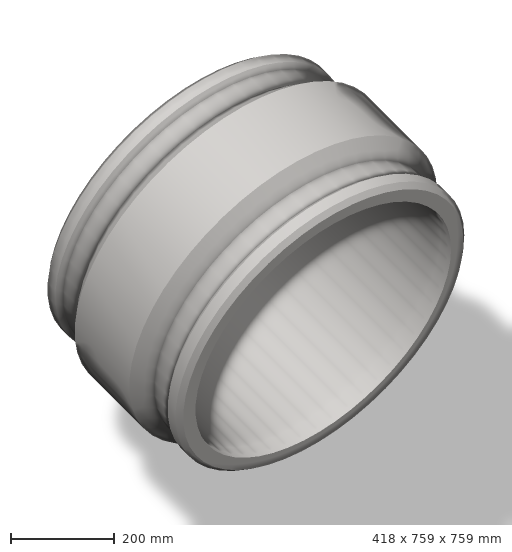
import cadquery as cq

length = 418.0
band_diameter = 759
lip_diameter = 712.0
neck_diameter = 691
bore_diameter = 630

lip_chamfer = 11.0
lip_land_length = 24.0
neck_length = 45.0
band_length = 169.0
band_slope = (band_diameter - neck_diameter) / 2

half_length = length / 2
band_edge = band_length / 2
shoulder_foot = band_edge + band_slope
neck_end = shoulder_foot + neck_length
lip_outer_edge = half_length - lip_chamfer
lip_inner_edge = lip_outer_edge - lip_land_length

bore_radius = bore_diameter / 2
neck_radius = neck_diameter / 2
lip_radius = lip_diameter / 2
band_radius = band_diameter / 2

half_outline = [
    (band_edge, band_radius),
    (shoulder_foot, neck_radius),
    (neck_end, neck_radius),
    (lip_inner_edge, lip_radius),
    (lip_outer_edge, lip_radius),
    (half_length, lip_radius - lip_chamfer),
    (half_length, bore_radius),
]
mirrored_outline = [(-x, radius) for x, radius in reversed(half_outline)]

result = (
    cq.Workplane("XY")
    .polyline(mirrored_outline + half_outline)
    .close()
    .revolve(360, (0, 0, 0), (1, 0, 0))
)